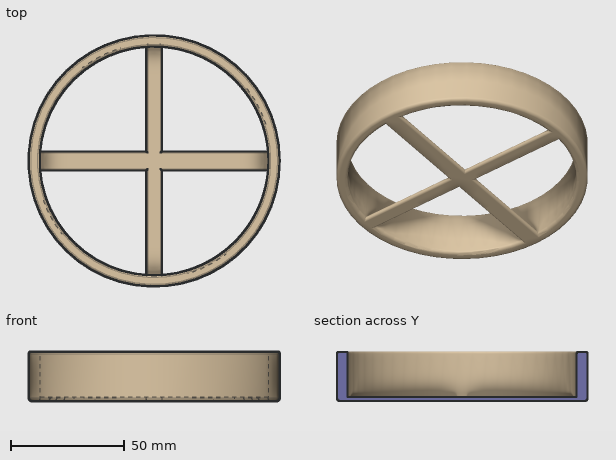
import cadquery as cq
outer_diameter = 111.0
inner_diameter = 101.0
height = 22.0
top_rim_radius = 1.0
bottom_rim_radius = 1.5

x_spoke_width = 8.5
y_spoke_width = 7.0
spoke_thickness = 2.0
spoke_top_radius = 0.7
spoke_bottom_radius = 1.0

spoke_length = (outer_diameter + inner_diameter) / 2


def make_ring():
    """Round wall with all four circular rims rounded."""
    wall = cq.Workplane("XY").circle(outer_diameter / 2).circle(inner_diameter / 2).extrude(height)
    wall = wall.faces(">Z").edges().fillet(top_rim_radius)
    return wall.faces("<Z").edges().fillet(bottom_rim_radius)


def make_spoke(length_x, length_y):
    """Flat bar resting on the base plane and centred on the ring axis."""
    return cq.Workplane("XY").box(length_x, length_y, spoke_thickness, centered=(True, True, False))


def make_cross():
    """Two crossing spokes with rounded top and bottom edges along their length."""
    cross = make_spoke(spoke_length, x_spoke_width).union(make_spoke(y_spoke_width, spoke_length))
    cross = cross.faces("<Z").edges().fillet(spoke_bottom_radius)
    return cross.faces(">Z").edges().fillet(spoke_top_radius)


result = make_ring().union(make_cross())